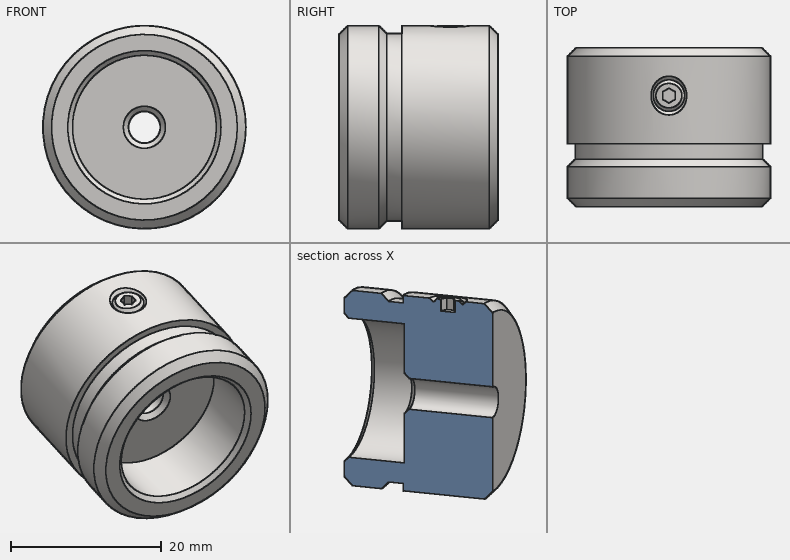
import cadquery as cq

outer_diameter = 26.92
length = 21.08
edge_chamfer = 1.15
front_y = -length / 2
back_y = length / 2
outer_radius = outer_diameter / 2

groove_diameter = 24.9
groove_front = 5.3
groove_back = 8.35
groove_radius = groove_diameter / 2
groove_depth = outer_radius - groove_radius

bore_diameter = 19.05
bore_depth = 8.5
bore_chamfer = 0.62
hole_diameter = 4.17
hole_chamfer = 0.7

screw_y = front_y + 14.73
screw_diameter = 4.17
screw_end_diameter = 3.23
screw_top_z = outer_radius
countersink_width = 0.48
socket_across_flats = 1.7
socket_depth = 1.62
screw_radius = screw_diameter / 2
screw_chamfer = (screw_diameter - screw_end_diameter) / 2


def revolve_about_y(points):
    """Revolve a closed (radius, y) outline about the Y axis."""
    return cq.Workplane("XY").polyline(points).close().revolve(360, (0, 0, 0), (0, 1, 0))


def make_body():
    return revolve_about_y([
        (0, front_y),
        (outer_radius - edge_chamfer, front_y),
        (outer_radius, front_y + edge_chamfer),
        (outer_radius, front_y + groove_front),
        (groove_radius, front_y + groove_front + groove_depth),
        (groove_radius, front_y + groove_back),
        (outer_radius, front_y + groove_back),
        (outer_radius, back_y - edge_chamfer),
        (outer_radius - edge_chamfer, back_y),
        (0, back_y),
    ])


def make_bore():
    """Chamfered front bore with a smaller chamfered hole through its floor."""
    bore_radius = bore_diameter / 2
    hole_radius = hole_diameter / 2
    floor_y = front_y + bore_depth
    return revolve_about_y([
        (0, front_y),
        (bore_radius + bore_chamfer, front_y),
        (bore_radius, front_y + bore_chamfer),
        (bore_radius, floor_y),
        (hole_radius + hole_chamfer, floor_y),
        (hole_radius, floor_y + hole_chamfer),
        (hole_radius, back_y),
        (0, back_y),
    ])


def make_screw_recess():
    """Ring-shaped recess between the countersink and the bevelled screw end."""
    seat_z = screw_top_z - screw_chamfer
    rim_z = screw_top_z - countersink_width
    rim_radius = screw_radius + countersink_width
    profile = [
        (screw_end_diameter / 2, screw_top_z),
        (screw_radius, seat_z),
        (screw_radius, rim_z),
        (rim_radius, screw_top_z),
    ]
    recess = cq.Workplane("XZ").polyline(profile).close().revolve(360, (0, 0, 0), (0, 1, 0))
    return recess.translate((0, screw_y, 0))


def make_hex_socket():
    """Hexagonal key socket with two flats facing along X."""
    across_corners = socket_across_flats / (3 ** 0.5 / 2)
    return (
        cq.Workplane("XY", origin=(0, screw_y, screw_top_z))
        .transformed(rotate=(0, 0, 90))
        .polygon(6, across_corners)
        .extrude(-socket_depth)
    )


result = make_body().cut(make_bore()).cut(make_screw_recess()).cut(make_hex_socket())